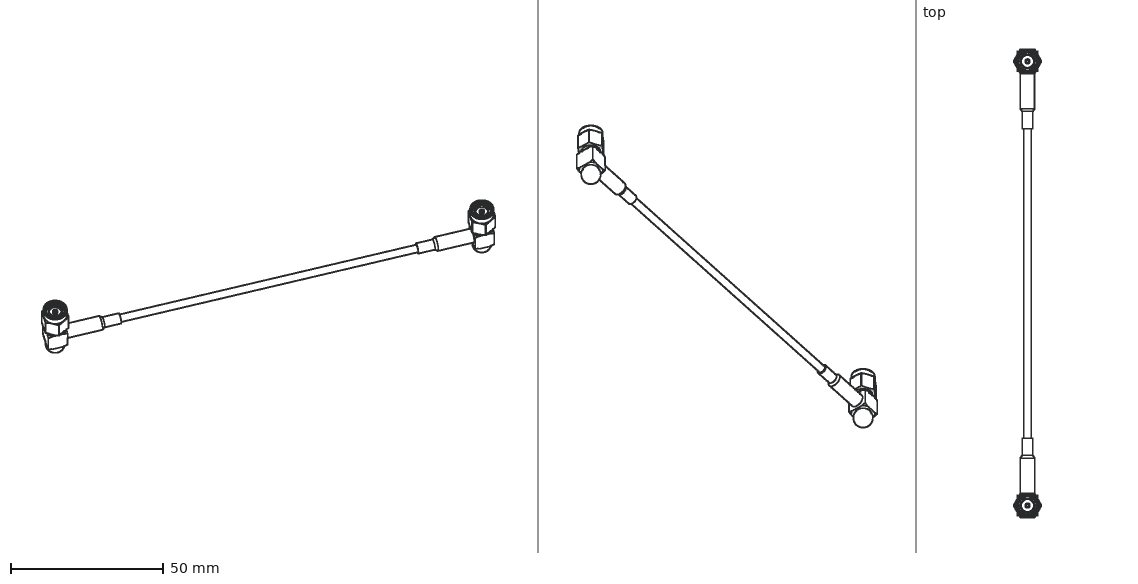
import cadquery as cq
import math


TOTAL_LENGTH = 153.8
HALF_LENGTH = TOTAL_LENGTH / 2

NUT_RIM_DIAMETER = 7.8
NUT_RIM_BOTTOM = -2.3
NUT_BOTTOM = -8.5
NUT_FLATS = 8.0
NUT_CORNERS = 9.0
NUT_CHAMFER_ANGLE = 15.0
NUT_SIDES = 6
NUT_SHARP_CORNERS = NUT_FLATS / math.cos(math.pi / NUT_SIDES)
NUT_BORE_DIAMETER = 5.8
NUT_BORE_BOTTOM = -6.2
NUT_COUNTERBORE_DIAMETER = 6.5
NUT_COUNTERBORE_BOTTOM = -0.8
NUT_MOUTH_DIAMETER = 7.0
NUT_MOUTH_CHAMFER = (NUT_MOUTH_DIAMETER - NUT_COUNTERBORE_DIAMETER) / 2

SHELL_DIAMETER = 4.6
SHELL_BORE_DIAMETER = 4.2
SHELL_TOP = -0.5
INSULATOR_TOP = -1.4
PIN_COLLAR_DIAMETER = 1.5
PIN_COLLAR_TOP = -0.8
PIN_DIAMETER = 0.9
PIN_TOP = -0.3

BODY_WIDTH = 6.8
BODY_LENGTH = 6.6
BODY_TOP = -9.7
BODY_BOTTOM = -16.8
BODY_FACE_DIAMETER = 7.7
BODY_CHAMFER_ANGLE = 30.0
NECK_DIAMETER = 6.5
CAP_DIAMETER = 6.5
CAP_BOTTOM = -21.8

NUT_AXIS_INSET = NUT_FLATS / 2
TUBE_AXIS_Z = (BODY_TOP + BODY_BOTTOM) / 2
TUBE_DIAMETER = 4.8
TUBE_END = 20.5
TUBE_CHAMFER_LENGTH = 0.9

CABLE_DIAMETER = 2.6
SLEEVE_DIAMETER = 3.5
SLEEVE_END = 26.1

TUBE_CHAMFER_DEPTH = (TUBE_DIAMETER - SLEEVE_DIAMETER) / 2


def cylinder_z(diameter, bottom, top):
    """Vertical cylinder on the Z axis."""
    return cq.Workplane("XY").workplane(offset=bottom).circle(diameter / 2).extrude(top - bottom)


def cylinder_y(diameter, start, end):
    """Cylinder along Y at the height of the cable."""
    plane = cq.Plane(origin=(0, start, TUBE_AXIS_Z), xDir=(1, 0, 0), normal=(0, 1, 0))
    return cq.Workplane(plane).circle(diameter / 2).extrude(end - start)


def turned_blank(outer_diameter, face_diameter, chamfer_angle, bottom, top):
    """Cylinder whose two ends taper to the face diameter, used to trim the corners of a prism."""
    depth = (outer_diameter - face_diameter) / 2
    height = depth * math.tan(math.radians(chamfer_angle))
    blank = cylinder_z(outer_diameter, bottom, top)
    blank = blank.faces(">Z").chamfer(height, depth)
    return blank.faces("<Z").chamfer(height, depth)


def make_nut():
    """Hexagonal coupling nut with a round rim and a flared bore, two of its flats facing along Y."""
    hexagon = (
        cq.Workplane("XY")
        .workplane(offset=NUT_BOTTOM)
        .polygon(NUT_SIDES, NUT_SHARP_CORNERS)
        .extrude(NUT_RIM_BOTTOM - NUT_BOTTOM)
    )
    blank = turned_blank(NUT_CORNERS, NUT_RIM_DIAMETER, NUT_CHAMFER_ANGLE, NUT_BOTTOM, NUT_RIM_BOTTOM)
    trimmed = hexagon.intersect(blank)
    rim = cylinder_z(NUT_RIM_DIAMETER, NUT_RIM_BOTTOM, 0)
    bore = cylinder_z(NUT_BORE_DIAMETER, NUT_BORE_BOTTOM, 0)
    counterbore = cylinder_z(NUT_COUNTERBORE_DIAMETER, NUT_COUNTERBORE_BOTTOM, 0)
    nut = trimmed.union(rim).cut(bore).cut(counterbore)
    mouth_edge = nut.faces(">Z").edges(cq.selectors.RadiusNthSelector(0))
    return mouth_edge.chamfer(NUT_MOUTH_CHAMFER)


def make_contact():
    """Contact that stands in the nut bore: a shell around a stepped pin, with a recessed floor between."""
    shell = cylinder_z(SHELL_DIAMETER, NUT_BORE_BOTTOM, SHELL_TOP)
    shell = shell.cut(cylinder_z(SHELL_BORE_DIAMETER, INSULATOR_TOP, SHELL_TOP))
    collar = cylinder_z(PIN_COLLAR_DIAMETER, INSULATOR_TOP, PIN_COLLAR_TOP)
    pin = cylinder_z(PIN_DIAMETER, PIN_COLLAR_TOP, PIN_TOP)
    return shell.union(collar).union(pin)


def make_elbow():
    """Rectangular elbow body with a neck above it and a ball cap below it."""
    block = (
        cq.Workplane("XY")
        .workplane(offset=BODY_BOTTOM)
        .rect(BODY_WIDTH, BODY_LENGTH)
        .extrude(BODY_TOP - BODY_BOTTOM)
    )
    diagonal = math.hypot(BODY_WIDTH, BODY_LENGTH)
    blank = turned_blank(diagonal, BODY_FACE_DIAMETER, BODY_CHAMFER_ANGLE, BODY_BOTTOM, BODY_TOP)
    block = block.intersect(blank)
    neck = cylinder_z(NECK_DIAMETER, BODY_TOP, NUT_BOTTOM)
    cap_radius = CAP_DIAMETER / 2
    cap = cq.Workplane("XY").sphere(cap_radius).translate((0, 0, CAP_BOTTOM + cap_radius))
    return block.union(neck).union(cap)


def make_crimp_tube():
    """Tube that leaves the elbow toward +Y and tapers to the sleeve diameter at its end."""
    tube = cylinder_y(TUBE_DIAMETER, 0, TUBE_END - NUT_AXIS_INSET)
    return tube.faces(">Y").chamfer(TUBE_CHAMFER_LENGTH, TUBE_CHAMFER_DEPTH)


def make_connector(turn):
    """One connector at the -Y end, then turned about Z to its own end of the assembly."""
    connector = make_elbow().union(make_crimp_tube()).union(make_nut()).union(make_contact())
    placed = connector.translate((0, NUT_AXIS_INSET - HALF_LENGTH, 0))
    return placed.rotate((0, 0, 0), (0, 0, 1), turn)


def make_cable():
    """Cable with a sleeve over each end, reaching from one crimp tube to the other."""
    sleeve_start = HALF_LENGTH - SLEEVE_END
    tube_face = HALF_LENGTH - TUBE_END
    core = cylinder_y(CABLE_DIAMETER, -sleeve_start, sleeve_start)
    near_sleeve = cylinder_y(SLEEVE_DIAMETER, -tube_face, -sleeve_start)
    far_sleeve = cylinder_y(SLEEVE_DIAMETER, sleeve_start, tube_face)
    return core.union(near_sleeve).union(far_sleeve)


connectors = [make_connector(turn) for turn in (0, 180)]
cable = make_cable()

result = cq.Compound.makeCompound([cable.val(), *[connector.val() for connector in connectors]])